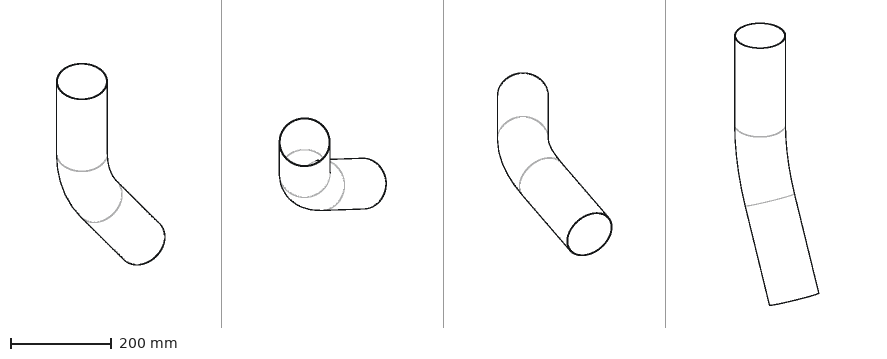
import cadquery as cq
import math

total_height = 557.0
outer_diameter = 101.5
inner_diameter = 97.5
bend_angle = 30.0
bend_radius = 3 * outer_diameter

sin_bend = math.sin(math.radians(bend_angle))
cos_bend = math.cos(math.radians(bend_angle))

end_drop = outer_diameter / 2 * sin_bend
leg_length = (total_height - bend_radius * sin_bend - end_drop) / (1 + cos_bend)


def centreline_point(angle):
    """Point (Y, Z) on the bend; angle 0 is the foot of the upper leg at the origin."""
    turn = math.radians(angle)
    return bend_radius * (1 - math.cos(turn)), -bend_radius * math.sin(turn)


def centreline():
    """Path from the top of the vertical leg down to the end of the tilted leg."""
    bend_middle = centreline_point(bend_angle / 2)
    bend_end = centreline_point(bend_angle)
    lower_end = (
        bend_end[0] + leg_length * sin_bend,
        bend_end[1] - leg_length * cos_bend,
    )
    return (
        cq.Workplane("YZ")
        .moveTo(0, leg_length)
        .lineTo(0, 0)
        .threePointArc(bend_middle, bend_end)
        .lineTo(*lower_end)
    )


result = (
    cq.Workplane("XY", origin=(0, 0, leg_length))
    .circle(outer_diameter / 2)
    .circle(inner_diameter / 2)
    .sweep(centreline())
)